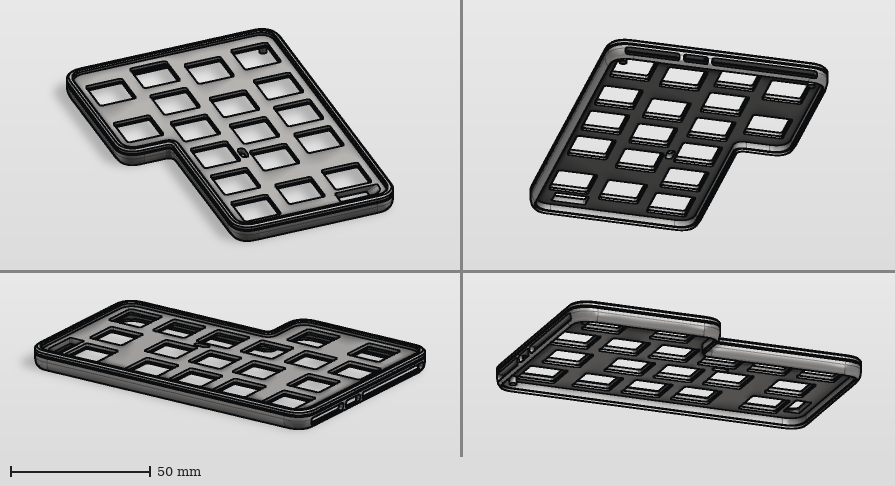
import cadquery as cq
import math

length = 120.1
height = 7.6
key_columns = 6
case_margin = 2.9
pitch = (length - 2 * case_margin) / key_columns

key_row_widths = [
    [1.25, 1, 1, 1, 1.75],
    [1.5, 1, 1, 1, 1.5],
    [1, 1, 1, 1, 1, 1],
    [1.5, 1.25],
]
width = len(key_row_widths) * pitch + 2 * case_margin

notch_x = sum(key_row_widths[-1]) * pitch + 2 * case_margin
notch_y = pitch

corner_length = 8.5
notch_corner_length = 2.0

plate_bottom = 3.7
plate_top = 6.0

cavity_inset = 2.0
rebate_inset = 1.5
rebate_height = 1.1

rim_width = 2.3
rim_outer_chamfer = 0.7
rim_inner_chamfer = 0.5

groove_bottom = 5.2
groove_top = 5.8
groove_depth = 0.6

belly_size = 4.6
belly_overlap = 0.6

switch_size = 14.0
switch_corner_radius = 1.0
clip_level = 4.6
clip_undercut = 0.2

oval_x = 72.2
oval_y = 41.1
oval_length = 6.0
oval_width = 2.6

ramp_slot_left = 109.5
ramp_slot_right = 115.5
ramp_slot_front = 61.3
ramp_slot_back = 77.7
ramp_run = 4.1
ramp_slot_radius = 0.6
ramp_top_radius = corner_length - (length - ramp_slot_right)

connector_opening = (46.0, 54.9)
side_openings = [(5.5, 44.4), connector_opening, (56.6, 76.5)]
side_opening_bottom = 1.3
side_opening_top = 4.1
side_opening_radius = 1.0

post_radius = 1.3
post_inset = 6.1


def point_toward(start, target, distance):
    """Point at the given distance from start on the way to target."""
    share = distance / math.dist(start, target)
    return tuple(s + share * (t - s) for s, t in zip(start, target))


def smooth_corner(path, start, corner, end):
    """Continue path from start to end with a rounding that has no curvature at its two ends."""
    third_in = math.dist(start, corner) / 3
    third_out = math.dist(end, corner) / 3
    return path.bezier(
        [
            start,
            point_toward(start, corner, third_in),
            point_toward(start, corner, 2 * third_in),
            point_toward(end, corner, 2 * third_out),
            point_toward(end, corner, third_out),
            end,
        ]
    )


def outline(inset, z):
    """Closed case outline, moved inward by inset, on the level z."""
    outer = corner_length - inset
    inner = notch_corner_length + inset
    left = inset
    right = length - inset
    front = inset
    back = width - inset
    step_x = notch_x - inset
    step_y = notch_y + inset
    corners = [
        ((left, back), outer),
        ((right, back), outer),
        ((right, step_y), outer),
        ((step_x, step_y), inner),
        ((step_x, front), outer),
        ((left, front), outer),
    ]
    path = cq.Workplane("XY", origin=(0, 0, z)).moveTo(left, front + outer)
    for i, (corner, size) in enumerate(corners):
        previous_corner = corners[i - 1][0]
        next_corner = corners[(i + 1) % len(corners)][0]
        start = point_toward(corner, previous_corner, size)
        end = point_toward(corner, next_corner, size)
        path = smooth_corner(path.lineTo(*start), start, corner, end)
    return path.close()


def slab(inset, bottom, top):
    return outline(inset, bottom).extrude(top - bottom)


def ruled_solid(lower_wire, upper_wire):
    return cq.Workplane(obj=cq.Solid.makeLoft([lower_wire, upper_wire], True))


def rim_recess():
    """Recess that leaves the rim standing around the plate, widened by the inner rim chamfer."""
    chamfer_foot = height - rim_inner_chamfer
    lower_wire = outline(rim_width, chamfer_foot).wires().val()
    upper_wire = outline(rim_width - rim_inner_chamfer, height).wires().val()
    return slab(rim_width, plate_top, chamfer_foot).union(ruled_solid(lower_wire, upper_wire))


def groove():
    return slab(0, groove_bottom, groove_top).cut(slab(groove_depth, groove_bottom, groove_top))


def belly_cutter():
    """Space outside the rounded lower wall, swept once around the case."""
    start = (0, plate_bottom)
    corner = (0, plate_bottom - belly_size)
    end = (belly_size, plate_bottom - belly_size)
    profile = cq.Workplane("XZ", origin=(0, corner_length, 0)).moveTo(*start)
    profile = (
        smooth_corner(profile, start, corner, end)
        .lineTo(-belly_overlap, plate_bottom - belly_size)
        .lineTo(-belly_overlap, plate_bottom)
        .close()
    )
    return profile.sweep(outline(0, 0))


def square_opening(size, bottom, top):
    block = cq.Workplane("XY", origin=(0, 0, bottom)).rect(size, size).extrude(top - bottom)
    return block.edges("|Z").fillet(switch_corner_radius)


def key_centers():
    """Centres of all keys; the keys of a row follow each other from the left."""
    centers = []
    for row, key_widths in enumerate(key_row_widths):
        y = width - case_margin - (row + 0.5) * pitch
        left = case_margin
        for key_width in key_widths:
            centers.append((left + key_width * pitch / 2, y))
            left += key_width * pitch
    return centers


def ramp_slot_wire(z, back, back_right_radius):
    """Outline of the long opening on the level z, with its own radius in the right back corner."""
    left = ramp_slot_left
    right = ramp_slot_right
    front = ramp_slot_front
    radius = ramp_slot_radius
    return (
        cq.Workplane("XY", origin=(0, 0, z))
        .moveTo(left + radius, front)
        .lineTo(right - radius, front)
        .tangentArcPoint((right, front + radius), relative=False)
        .lineTo(right, back - back_right_radius)
        .tangentArcPoint((right - back_right_radius, back), relative=False)
        .lineTo(left + radius, back)
        .tangentArcPoint((left, back - radius), relative=False)
        .lineTo(left, front + radius)
        .tangentArcPoint((left + radius, front), relative=False)
        .close()
        .wires()
        .val()
    )


def ramp_slot():
    lower_wire = ramp_slot_wire(plate_bottom, ramp_slot_back - ramp_run, ramp_slot_radius)
    upper_wire = ramp_slot_wire(plate_top, ramp_slot_back, ramp_top_radius)
    return ruled_solid(lower_wire, upper_wire)


def side_opening(front_end, back_end):
    """Rounded opening that reaches from outside the left wall into the cavity."""
    opening_height = side_opening_top - side_opening_bottom
    center_y = (front_end + back_end) / 2
    center_z = side_opening_bottom + opening_height / 2
    block = cq.Workplane("XY").box(2 * case_margin, back_end - front_end, opening_height)
    return block.edges("|X").fillet(side_opening_radius).translate((0, center_y, center_z))


def connector_pocket():
    """Space that thins the left wall behind the connector opening."""
    front_end, back_end = connector_opening
    depth = cavity_inset - rebate_inset
    block = cq.Workplane("XY").box(depth, back_end - front_end, side_opening_top, centered=False)
    return block.translate((rebate_inset, front_end, 0))


case = slab(0, 0, height).faces(">Z").edges().chamfer(rim_outer_chamfer)
case = case.cut(rim_recess())
case = case.cut(groove())
case = case.cut(belly_cutter())
case = case.cut(slab(cavity_inset, 0, plate_bottom))
case = case.cut(slab(rebate_inset, 0, rebate_height))

switch_opening = square_opening(switch_size, clip_level, plate_top)
clip_opening = square_opening(switch_size + 2 * clip_undercut, plate_bottom, clip_level)
key_opening = switch_opening.union(clip_opening)
for key_x, key_y in key_centers():
    case = case.cut(key_opening.translate((key_x, key_y, 0)))

oval = cq.Workplane("XY").slot2D(oval_length, oval_width).extrude(height)
case = case.cut(oval.translate((oval_x, oval_y, 0)))
case = case.cut(ramp_slot())

for opening_ends in side_openings:
    case = case.cut(side_opening(*opening_ends))
case = case.cut(connector_pocket())

for post_y in (post_inset, width - post_inset):
    post = cq.Workplane("XY").circle(post_radius).extrude(plate_bottom - rebate_height)
    case = case.union(post.translate((post_inset, post_y, rebate_height)))

result = case